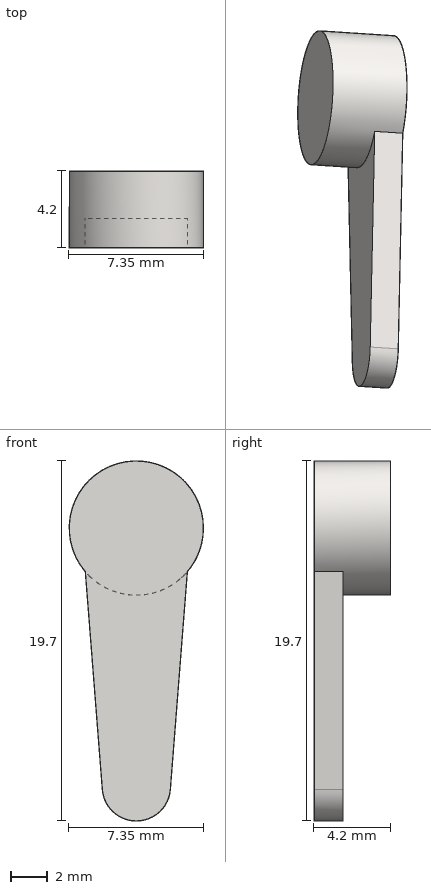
import cadquery as cq
import math

total_length = 19.7
head_diameter = 7.35
head_depth = 4.2
arm_thickness = 1.6
tip_radius = 1.87
shoulder_half_width = 2.8

head_radius = head_diameter / 2
shoulder_drop = math.sqrt(head_radius**2 - shoulder_half_width**2)
tip_bottom = head_radius - total_length
tip_center = tip_bottom + tip_radius

corner_height = -shoulder_drop - tip_center
corner_distance = math.hypot(shoulder_half_width, corner_height)
corner_angle = math.atan2(corner_height, shoulder_half_width)
tangent_angle = corner_angle - math.acos(tip_radius / corner_distance)
tangent_x = tip_radius * math.cos(tangent_angle)
tangent_z = tip_center + tip_radius * math.sin(tangent_angle)


def extrude_back(outline, depth):
    """Extrude an XZ outline from the front face toward +Y."""
    return outline.extrude(-depth)


head = extrude_back(cq.Workplane("XZ").circle(head_radius), head_depth)

arm_outline = (
    cq.Workplane("XZ")
    .moveTo(0, 0)
    .lineTo(shoulder_half_width, -shoulder_drop)
    .lineTo(tangent_x, tangent_z)
    .threePointArc((0, tip_bottom), (-tangent_x, tangent_z))
    .lineTo(-shoulder_half_width, -shoulder_drop)
    .close()
)
arm = extrude_back(arm_outline, arm_thickness)

result = head.union(arm)